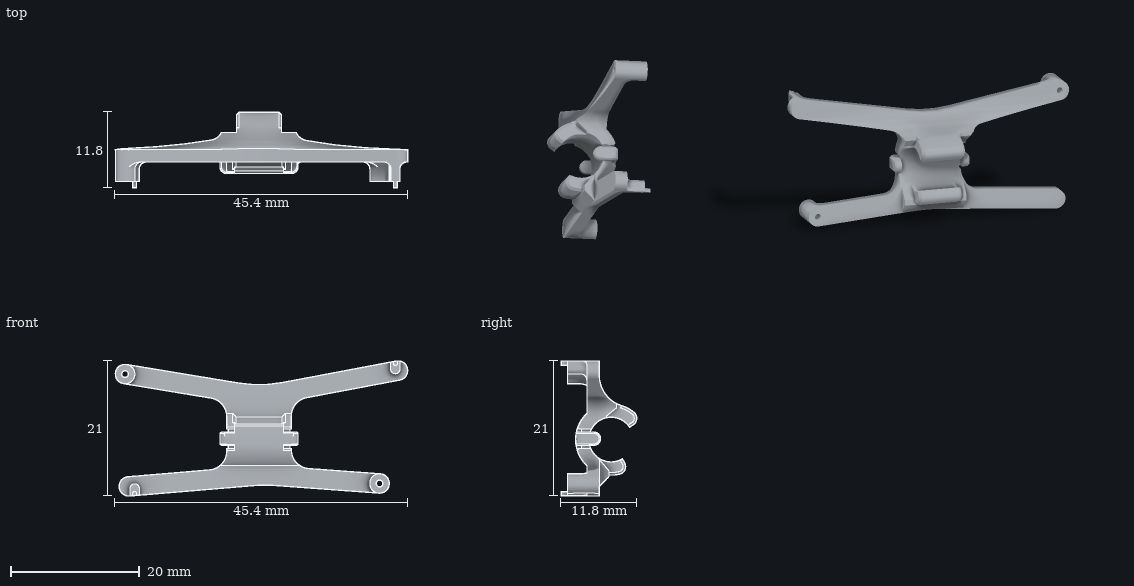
import cadquery as cq
import math

UPPER_LEFT = (-20.77, 10.02)
UPPER_RIGHT = (21.55, 10.55)
LOWER_LEFT = (-20.2, -7.4)
LOWER_RIGHT = (18.7, -6.95)
UPPER_LEFT_SLOPE = 9.4
UPPER_RIGHT_SLOPE = 10.7
LOWER_LEFT_SLOPE = -4.8
LOWER_RIGHT_SLOPE = -4.2
ARM_WIDTH = 3.05
ARM_THICKNESS = 1.95
NECK_WIDTH = 10.05
NECK_FILLET = 2.85
CROTCH_RADIUS = 19.5
CROTCH_ZONE = 1.8

RING_Y = 1.8
RING_Z = -0.15
BORE_RADIUS = 3.45
RING_RADIUS = 5.55
UPPER_TIP_ANGLE = 33.5
LOWER_TIP_ANGLE = -59.5
HOOK_WIDTH = 7.0
HOOK_TIP_RADIUS = 1.22
HOOK_CHAMFER = 0.4
HOOK_ROOT_SPAN = 66.0

UPPER_RAMP_RADIUS = 4.75
LOWER_RAMP_END_Z = -7.4
LOWER_RAMP_DEPTH = 1.5
UPPER_SHOULDER_Y = 2.68
UPPER_SHOULDER_Z = 4.8
UPPER_HEEL = (1.15, 3.55)
LOWER_SHOULDER_Z = -5.0
LOWER_HEEL = (-0.65, -2.5)

POST_LENGTH = 5.0
POST_FLARE = 1.05
HOLE_DIAMETER = 1.0
PEG_RADIUS = 0.73
UPPER_PEG = (21.15, 10.8)
LOWER_PEG = (-19.3, -7.7)
PIN_RADIUS = 0.3
PIN_LENGTH = 0.95
PIN_INSET = 0.4

SPLIT_Z = 1.5
TONGUE_HALF_WIDTH = 3.8
TONGUE_TOP_Z = 2.3
GROOVE_HALF_WIDTH = 3.55
GROOVE_DEPTH = 0.4
GROOVE_BEVEL = 0.55
GROOVE_START = 28.3
GROOVE_SWEEP = 35.0
LIP_SWEEP = 6.3
TAB_SPAN = 12.15
TAB_HEIGHT = 2.1
TAB_BACK_Y = 0.2
TAB_CORNER_RADIUS = 1.05
TAB_CHAMFER = 0.23
NOTCH_DEPTH = 0.9
SIDE_SLIT = 0.23
NOTCH_BEVEL = 0.3

ARM_RADIUS = ARM_WIDTH / 2
NECK_HALF = NECK_WIDTH / 2
FRONT_Y = -ARM_THICKNESS
TAB_HALF_HEIGHT = TAB_HEIGHT / 2
TAB_FRONT_Y = RING_Y - RING_RADIUS
FAR = 27.2
TOLERANCE = 0.005


def along_x(half_width):
    """Sketch plane in (y, z) for a symmetric extrusion of the given half width."""
    return cq.Workplane("YZ", origin=(-half_width, 0, 0))


def block(x0, x1, y0, y1, z0, z1):
    return cq.Workplane("XY").box(x1 - x0, y1 - y0, z1 - z0, centered=False).translate((x0, y0, z0))


def along_y(y_back, x=0.0, z=0.0):
    """Sketch plane in (x, z); positive extrusion runs toward -Y."""
    return cq.Workplane("XZ", origin=(x, y_back, z))


def ring_point(radius, degrees):
    angle = math.radians(degrees)
    return (RING_Y + radius * math.cos(angle), RING_Z + radius * math.sin(angle))


def ring_cylinder(radius, half_width):
    return along_x(half_width).center(RING_Y, RING_Z).circle(radius).extrude(2 * half_width)


def ring_sector(start, end, half_width, inner=BORE_RADIUS, outer=RING_RADIUS):
    middle = (start + end) / 2
    return (
        along_x(half_width)
        .moveTo(*ring_point(inner, start))
        .lineTo(*ring_point(outer, start))
        .threePointArc(ring_point(outer, middle), ring_point(outer, end))
        .lineTo(*ring_point(inner, end))
        .threePointArc(ring_point(inner, middle), ring_point(inner, start))
        .close()
        .extrude(2 * half_width)
    )


def arm_edge_z(end, slope, side, x):
    """Height at x of the upper (side=1) or lower (side=-1) edge of an arm."""
    tilt = math.radians(slope) * math.copysign(1, end[0])
    return end[1] + (x - end[0]) * math.tan(tilt) + side * ARM_RADIUS / math.cos(tilt)


def arm_corner(end, slope, side):
    tilt = math.radians(slope) * math.copysign(1, end[0])
    return (end[0] - side * ARM_RADIUS * math.sin(tilt), end[1] + side * ARM_RADIUS * math.cos(tilt))


def crotch(left, left_slope, right, right_slope, side):
    """Point where the outer edges of a left and a right arm cross."""
    left_z = arm_edge_z(left, left_slope, side, 0)
    right_z = arm_edge_z(right, right_slope, side, 0)
    rise = math.tan(math.radians(right_slope)) + math.tan(math.radians(left_slope))
    x = (left_z - right_z) / rise
    return (x, arm_edge_z(left, left_slope, side, x))


def outline(y_back, depth):
    points = [
        arm_corner(UPPER_LEFT, UPPER_LEFT_SLOPE, 1),
        crotch(UPPER_LEFT, UPPER_LEFT_SLOPE, UPPER_RIGHT, UPPER_RIGHT_SLOPE, 1),
        arm_corner(UPPER_RIGHT, UPPER_RIGHT_SLOPE, 1),
        arm_corner(UPPER_RIGHT, UPPER_RIGHT_SLOPE, -1),
        (NECK_HALF, arm_edge_z(UPPER_RIGHT, UPPER_RIGHT_SLOPE, -1, NECK_HALF)),
        (NECK_HALF, arm_edge_z(LOWER_RIGHT, LOWER_RIGHT_SLOPE, 1, NECK_HALF)),
        arm_corner(LOWER_RIGHT, LOWER_RIGHT_SLOPE, 1),
        arm_corner(LOWER_RIGHT, LOWER_RIGHT_SLOPE, -1),
        crotch(LOWER_LEFT, LOWER_LEFT_SLOPE, LOWER_RIGHT, LOWER_RIGHT_SLOPE, -1),
        arm_corner(LOWER_LEFT, LOWER_LEFT_SLOPE, -1),
        arm_corner(LOWER_LEFT, LOWER_LEFT_SLOPE, 1),
        (-NECK_HALF, arm_edge_z(LOWER_LEFT, LOWER_LEFT_SLOPE, 1, -NECK_HALF)),
        (-NECK_HALF, arm_edge_z(UPPER_LEFT, UPPER_LEFT_SLOPE, -1, -NECK_HALF)),
        arm_corner(UPPER_LEFT, UPPER_LEFT_SLOPE, -1),
    ]
    plate = along_y(y_back).polyline(points).close().extrude(depth)
    plate = plate.edges("|Y").filter(lambda e: abs(e.Center().x) < CROTCH_ZONE).fillet(CROTCH_RADIUS)
    plate = (
        plate.edges("|Y")
        .filter(lambda e: abs(abs(e.Center().x) - NECK_HALF) < TOLERANCE)
        .fillet(NECK_FILLET)
    )
    ends = [UPPER_LEFT, UPPER_RIGHT, LOWER_LEFT, LOWER_RIGHT]
    return plate.union(along_y(y_back).pushPoints(ends).circle(ARM_RADIUS).extrude(depth))


def upper_ramp(half_width):
    """Concave gusset, tangent to the back of the arms and to the clip ring."""
    r = UPPER_RAMP_RADIUS
    rise = math.sqrt((r + RING_RADIUS) ** 2 - (r - RING_Y) ** 2)
    start_z = RING_Z + rise
    ring_angle = math.degrees(math.atan2(rise, r - RING_Y))
    half_turn = math.radians((180 + ring_angle + 180) / 2)
    middle = (r + r * math.cos(half_turn), start_z + r * math.sin(half_turn))
    return (
        along_x(half_width)
        .moveTo(FRONT_Y, start_z)
        .lineTo(0, start_z)
        .threePointArc(middle, ring_point(RING_RADIUS, ring_angle))
        .lineTo(RING_Y, RING_Z)
        .lineTo(FRONT_Y, RING_Z)
        .close()
        .extrude(2 * half_width)
    )


def lower_ramp():
    """Gusset at 45 degrees between the back of the lower arms and the lower hook."""
    points = [
        (FRONT_Y, LOWER_RAMP_END_Z),
        (0, LOWER_RAMP_END_Z),
        (LOWER_RAMP_DEPTH, LOWER_RAMP_END_Z + LOWER_RAMP_DEPTH),
        (RING_Y, RING_Z),
        (FRONT_Y, RING_Z),
    ]
    return along_x(FAR).polyline(points).close().extrude(2 * FAR)


def wide_limit():
    """Keeps the full-width neck clear of the two hooks."""
    points = [
        (-FAR, -FAR),
        (-FAR, FAR),
        (UPPER_SHOULDER_Y, FAR),
        (UPPER_SHOULDER_Y, UPPER_SHOULDER_Z),
        UPPER_HEEL,
        LOWER_HEEL,
        (LOWER_RAMP_DEPTH, LOWER_SHOULDER_Z),
        (LOWER_RAMP_DEPTH, -FAR),
    ]
    return along_x(FAR).polyline(points).close().extrude(2 * FAR)


def ring_distance(point):
    return math.hypot(point.y - RING_Y, point.z - RING_Z)


def hook(tip_angle, root_angle):
    half = HOOK_WIDTH / 2
    tip_y, tip_z = ring_point(RING_RADIUS, tip_angle)
    piece = ring_sector(tip_angle, root_angle, half)
    piece = piece.edges(cq.NearestToPointSelector((0, tip_y, tip_z))).fillet(HOOK_TIP_RADIUS)
    sides = piece.faces("<X or >X").edges()
    return sides.filter(lambda e: ring_distance(e.Center()) > BORE_RADIUS).chamfer(HOOK_CHAMFER)


def frame():
    """Arms, neck and C-shaped clip before they are split into the two bodies."""
    slab = block(-FAR, FAR, FRONT_Y, 0, -FAR, FAR)
    ring = ring_sector(UPPER_TIP_ANGLE, 360 + LOWER_TIP_ANGLE, FAR)
    bore = ring_cylinder(BORE_RADIUS, FAR)
    body = slab.union(upper_ramp(FAR)).union(lower_ramp()).union(ring).intersect(wide_limit())
    body = body.union(upper_ramp(HOOK_WIDTH / 2)).intersect(outline(FAR, 2 * FAR)).cut(bore)
    for side in (-1, 1):
        x0, x1 = sorted((side * NECK_HALF, side * FAR))
        body = body.cut(block(x0, x1, 0, FAR, -FAR, RING_Z))
    body = body.union(hook(UPPER_TIP_ANGLE, UPPER_TIP_ANGLE + HOOK_ROOT_SPAN))
    return body.union(hook(LOWER_TIP_ANGLE, LOWER_TIP_ANGLE - HOOK_ROOT_SPAN))


def flare_profile(plane, radius):
    """Half section of a post with a concave foot on the arm front."""
    foot = FRONT_Y - POST_FLARE
    bend = POST_FLARE * (1 - math.sqrt(0.5))
    return (
        plane.moveTo(0, 0)
        .lineTo(radius + POST_FLARE, 0)
        .lineTo(radius + POST_FLARE, FRONT_Y)
        .threePointArc((radius + bend, FRONT_Y - bend), (radius, foot))
        .lineTo(radius, -POST_LENGTH)
        .lineTo(0, -POST_LENGTH)
        .close()
    )


def flared_post(center, radius):
    plane = cq.Workplane("XY", origin=(center[0], 0, center[1]))
    return flare_profile(plane, radius).revolve(360, (0, 0, 0), (0, 1, 0))


def peg_post(center, outward, edge_z):
    """Half-round peg that runs out flat to the arm edge and carries a small pin."""
    post = flared_post(center, PEG_RADIUS)
    plane = cq.Workplane("XY", origin=(center[0], 0, center[1]))
    half = flare_profile(plane, PEG_RADIUS).extrude(outward * ARM_WIDTH)
    post = post.union(half).union(half.mirror("YZ", (center[0], 0, 0)))
    pin_z = edge_z - outward * PIN_INSET
    pin = along_y(0, center[0], pin_z).circle(PIN_RADIUS).extrude(POST_LENGTH + PIN_LENGTH)
    pin_root = (
        along_y(0, center[0], pin_z + outward * ARM_RADIUS / 2)
        .rect(2 * PIN_RADIUS, ARM_RADIUS)
        .extrude(POST_LENGTH + PIN_LENGTH)
    )
    return post.union(pin).union(pin_root)


def add_posts(body, hole_end, peg):
    posts = flared_post(hole_end, ARM_RADIUS).union(peg)
    body = body.union(posts.intersect(outline(0, FAR)))
    hole = along_y(FAR, *hole_end).circle(HOLE_DIAMETER / 2).extrude(2 * FAR)
    return body.cut(hole)


def tab_bar():
    """Bar across the neck with a rounded tab wrapping each side of it."""
    half = TAB_SPAN / 2
    bar = block(-half, half, TAB_FRONT_Y, TAB_BACK_Y, -TAB_HALF_HEIGHT, TAB_HALF_HEIGHT)
    bar = bar.edges("|X and >Y").fillet(TAB_HALF_HEIGHT - TOLERANCE)
    bar = bar.edges("|Z and <Y").fillet(TAB_CORNER_RADIUS)
    bar = bar.faces("<X or >X").edges().chamfer(TAB_CHAMFER)
    return bar.intersect(ring_cylinder(RING_RADIUS, half))


def cut_notches(body):
    """Clear a band round each tab root, leaving relief slots above and below the tab bar."""
    for side in (-1, 1):
        front_x = sorted((side * TONGUE_HALF_WIDTH, side * FAR))
        side_x = sorted((side * (NECK_HALF - SIDE_SLIT), side * FAR))
        body = body.cut(block(*front_x, -FAR, TAB_FRONT_Y + NOTCH_DEPTH, -SPLIT_Z, SPLIT_Z))
        body = body.cut(block(*side_x, -FAR, 0, -SPLIT_Z, SPLIT_Z))
    return body


def bevel_notch_edges(body, level):
    """Bevel the outer ring edges that lie beside the tab roots at the given height."""
    edges = body.edges("|X").filter(
        lambda e: abs(e.Center().z - level) < TOLERANCE
        and e.Center().y < TAB_FRONT_Y + NOTCH_DEPTH / 2
        and abs(e.Center().x) > TONGUE_HALF_WIDTH
    )
    return edges.chamfer(NOTCH_BEVEL)


def groove():
    """Shallow bevel-sided groove in the ring, between the ears and above the tongue."""
    floor_y = -(RING_RADIUS - GROOVE_DEPTH)
    top_y = -(RING_RADIUS + GROOVE_DEPTH)
    top_half = GROOVE_HALF_WIDTH + 2 * GROOVE_BEVEL
    section = [
        (-GROOVE_HALF_WIDTH, floor_y),
        (GROOVE_HALF_WIDTH, floor_y),
        (top_half, top_y),
        (-top_half, top_y),
    ]
    trough = (
        cq.Workplane("XY", origin=(0, RING_Y, RING_Z))
        .polyline(section)
        .close()
        .revolve(GROOVE_SWEEP, (0, 0, 0), (-1, 0, 0))
        .rotate((0, RING_Y, RING_Z), (-1, RING_Y, RING_Z), GROOVE_START)
    )
    lip = (
        along_x(TONGUE_HALF_WIDTH)
        .moveTo(*ring_point(-floor_y, 180 - GROOVE_START))
        .lineTo(*ring_point(RING_RADIUS, 180 - GROOVE_START + LIP_SWEEP))
        .lineTo(*ring_point(-top_y, 180 - GROOVE_START))
        .close()
        .extrude(2 * TONGUE_HALF_WIDTH)
    )
    return trough.union(lip).intersect(block(-FAR, FAR, -FAR, FRONT_Y, -FAR, FAR))


def upper_zone():
    """Space held by the upper body: above the split, less the tongue of the lower body."""
    half = TONGUE_HALF_WIDTH
    zone = block(-FAR, FAR, -FAR, FAR, SPLIT_Z, FAR)
    return zone.cut(block(-half, half, -FAR, 0, SPLIT_Z, TONGUE_TOP_Z))


def upper_body(base):
    body = bevel_notch_edges(base.intersect(upper_zone()), SPLIT_Z)
    return add_posts(body, UPPER_LEFT, peg_post(UPPER_PEG, 1, UPPER_RIGHT[1] + ARM_RADIUS))


def lower_body(base):
    body = cut_notches(base.cut(upper_zone()))
    body = bevel_notch_edges(body, -SPLIT_Z).union(tab_bar())
    body = body.cut(ring_cylinder(BORE_RADIUS, NECK_HALF))
    return add_posts(body, LOWER_RIGHT, peg_post(LOWER_PEG, -1, LOWER_LEFT[1] - ARM_RADIUS))


grooved_frame = frame().cut(groove())
upper = upper_body(grooved_frame)
lower = lower_body(grooved_frame)
result = cq.Compound.makeCompound([upper.val(), lower.val()])